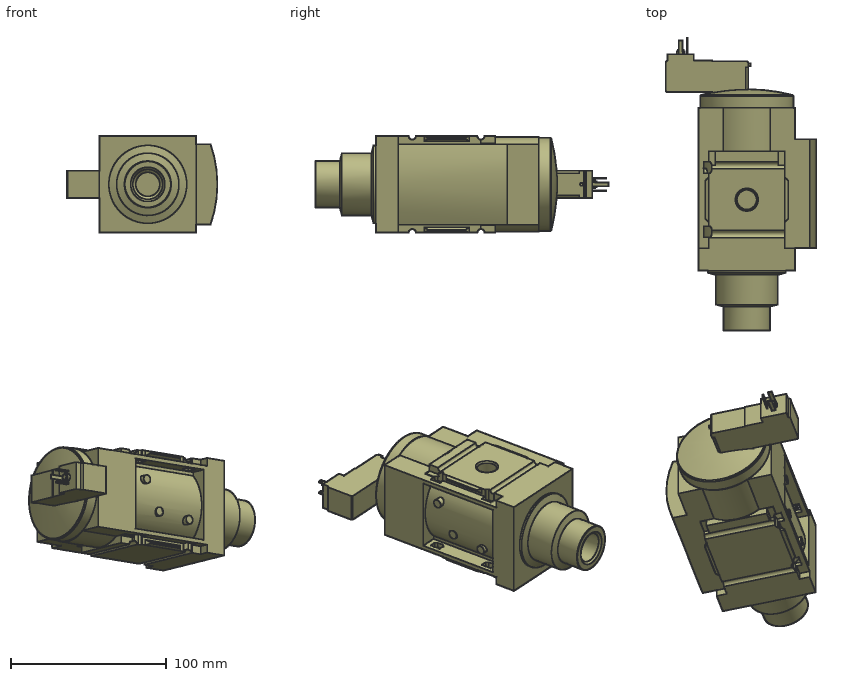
import cadquery as cq
import math


BODY_HALF = 31.0
BODY_FRONT_Y = -45.4
FLAT_HALF_Z = 25.8
CORE_HALF_X = 24.3
RAIL_HALF_Y = 31.1
PLATE_REAR_Y = 38.9
REAR_Y = 58.9

CROWN_HALF_X = 15.0
CROWN_Z = 30.5

CAP_R = 30.0
CAP_BEVEL_Y = 66.3
CAP_RIM_Y = 67.2
CAP_RIM_R = 29.3
CAP_TOP_Y = 70.9

TIP_Y = -84.1
SPIGOT_R = 15.0
SPIGOT_BEVEL = 0.3
SLEEVE_R = 20.0
SLEEVE_BEVEL_START_Y = -67.2
SLEEVE_END_Y = -68.5
FLANGE_R = 25.0
FLANGE_RIM_Y = -46.9
FLANGE_END_Y = -48.2
BORE_MOUTH_R = 11.0
BORE_R = 9.6
BORE_BOTTOM_R = 7.7
BORE_DEPTH = 15.0
BORE_CONE_LENGTH = 2.0

GROOVE_Y = 22.0
GROOVE_R = 2.25
STEP_X = 20.1
STEP_Z = 26.2

PORT_R = 6.3
PORT_BEVEL = 1.0
PORT_DEPTH = 12.0

TAB_OUT = 2.3
TAB_HALF_Y = 14.4
TAB_BEVEL = 2.1
TAB_BOTTOM_Z = 27.5
TAB_EDGE_TOP_Z = 30.0
TAB_EDGE_BOTTOM_Z = 29.0

WINDOW_REAR_Y = 27.8
WINDOW_FRONT_Y = -28.4
WINDOW_HALF_Z = 23.0
BARREL_R = 28.8
BARREL_HALF_Z = 20.7
PIN_FACE_X = -29.7
FLUSH_PIN_FACE_X = -28.3
PINS = [
    (17.4, 11.0, 5.5, PIN_FACE_X),
    (5.9, -8.5, 5.8, FLUSH_PIN_FACE_X),
    (-17.5, -11.0, 5.5, PIN_FACE_X),
]

SLOT_Y = 20.6
SLOT_HALF_Y = 3.6
SLOT_OUTER_X = -27.7
SLOT_SHOULDER_X = -23.4
SLOT_INNER_X = -22.4
SLOT_INNER_HALF_Y = 1.9

COVER_EDGE_X = 40.3
COVER_CROWN_X = 44.7

COIL_HALF_Z = 8.8
COIL_LEFT_X = -52.1
COIL_RIGHT_X = -22.0
COIL_FRONT_Y = 68.9
COIL_REAR_Y = 89.4
COIL_REAR_BEVEL = 1.1
COIL_FRONT_BEVEL = 0.8
HEAD_LEFT_X = -50.9
HEAD_RIGHT_X = -33.9
HEAD_REAR_Y = 93.4
PILOT_RIGHT_X = -0.7
PILOT_REAR_Y = 88.9
PILOT_ROOT_Y = 66.0
END_PLATE_X = 1.1
END_PLATE_REAR_Y = 84.9
END_PLATE_BEVEL = 1.7
BOSS_BEVEL = 1.0
OVERRIDE_X = 2.5
OVERRIDE_Y = 86.5
OVERRIDE_R = 2.01 / 2

POST_X = -42.4
POST_R = 2.5
POST_REAR_Y = 95.2
POST_TIP_R = 1.9
POST_TIP_REAR_Y = 96.2
BLADE_WIDTH = 2.6
BLADE_THICKNESS = 0.7
BLADE_Z = 4.0
BLADE_REAR_Y = 102.2
EARTH_X = -38.2
EARTH_REAR_Y = 103.8


def box(x0, x1, y0, y1, z0, z1):
    """Box given by its limits along each axis."""
    return cq.Workplane("XY").box(x1 - x0, y1 - y0, z1 - z0, centered=False).translate((x0, y0, z0))


def disc_along_x(x0, x1, y, z, radius):
    """Cylinder along X between x0 and x1."""
    return cq.Workplane("YZ").center(y, z).circle(radius).extrude(x1 - x0).translate((x0, 0, 0))


def disc_along_y(y0, y1, x, radius):
    """Cylinder along Y between y0 and y1, at Z = 0."""
    return cq.Workplane("XZ").center(x, 0).circle(radius).extrude(y0 - y1).translate((0, y0, 0))


def both_z(shape):
    """The shape together with its mirror image in the XY plane."""
    return shape.union(shape.mirror("XY"))


def make_body():
    """Front block, raised middle block, rails and rear plates."""
    front = box(-BODY_HALF, BODY_HALF, BODY_FRONT_Y, -RAIL_HALF_Y, -BODY_HALF, BODY_HALF)
    core = box(-CORE_HALF_X, CORE_HALF_X, -RAIL_HALF_Y, RAIL_HALF_Y, -BODY_HALF, BODY_HALF)
    rails = box(-BODY_HALF, BODY_HALF, -RAIL_HALF_Y, REAR_Y, -FLAT_HALF_Z, FLAT_HALF_Z)
    crown = (
        cq.Workplane("XZ")
        .moveTo(-CROWN_HALF_X, -FLAT_HALF_Z)
        .lineTo(-CROWN_HALF_X, FLAT_HALF_Z)
        .threePointArc((0, CROWN_Z), (CROWN_HALF_X, FLAT_HALF_Z))
        .lineTo(CROWN_HALF_X, -FLAT_HALF_Z)
        .threePointArc((0, -CROWN_Z), (-CROWN_HALF_X, -FLAT_HALF_Z))
        .close()
        .extrude(RAIL_HALF_Y - REAR_Y)
        .translate((0, RAIL_HALF_Y, 0))
    )
    return front.union(core).union(rails).union(crown)


def make_turned_ends():
    """Front connection and domed end cap, turned about the Y axis."""
    dome_radius = (CAP_RIM_R**2 + (CAP_TOP_Y - CAP_RIM_Y) ** 2) / (2 * (CAP_TOP_Y - CAP_RIM_Y))
    mid_r = CAP_RIM_R / 2
    mid_y = CAP_TOP_Y - dome_radius + math.sqrt(dome_radius**2 - mid_r**2)
    cap = (
        cq.Workplane("XY")
        .moveTo(0, REAR_Y)
        .lineTo(CAP_R, REAR_Y)
        .lineTo(CAP_R, CAP_BEVEL_Y)
        .lineTo(CAP_RIM_R, CAP_RIM_Y)
        .threePointArc((mid_r, mid_y), (0, CAP_TOP_Y))
        .close()
        .revolve(360, (0, 0, 0), (0, 1, 0))
    )
    front = (
        cq.Workplane("XY")
        .moveTo(0, BODY_FRONT_Y)
        .lineTo(FLANGE_R, BODY_FRONT_Y)
        .lineTo(FLANGE_R, FLANGE_RIM_Y)
        .lineTo(SLEEVE_R, FLANGE_END_Y)
        .lineTo(SLEEVE_R, SLEEVE_BEVEL_START_Y)
        .lineTo(SPIGOT_R, SLEEVE_END_Y)
        .lineTo(SPIGOT_R, TIP_Y + SPIGOT_BEVEL)
        .lineTo(SPIGOT_R - SPIGOT_BEVEL, TIP_Y)
        .lineTo(0, TIP_Y)
        .close()
        .revolve(360, (0, 0, 0), (0, 1, 0))
    )
    return cap.union(front)


def make_front_bore():
    """Bore in the spigot with a bevelled mouth and a tapered bottom."""
    bevel = BORE_MOUTH_R - BORE_R
    cone_start_y = TIP_Y + BORE_DEPTH
    bottom_y = cone_start_y + BORE_CONE_LENGTH
    return (
        cq.Workplane("XY")
        .moveTo(0, TIP_Y)
        .lineTo(BORE_MOUTH_R, TIP_Y)
        .lineTo(BORE_R, TIP_Y + bevel)
        .lineTo(BORE_R, cone_start_y)
        .lineTo(BORE_BOTTOM_R, bottom_y)
        .lineTo(0, bottom_y)
        .close()
        .revolve(360, (0, 0, 0), (0, 1, 0))
    )


def make_port():
    """Blind port in the top face with a bevelled mouth."""
    floor_z = BODY_HALF - PORT_DEPTH
    return (
        cq.Workplane("XZ")
        .moveTo(0, floor_z)
        .lineTo(PORT_R, floor_z)
        .lineTo(PORT_R, BODY_HALF - PORT_BEVEL)
        .lineTo(PORT_R + PORT_BEVEL, BODY_HALF)
        .lineTo(0, BODY_HALF)
        .close()
        .revolve(360, (0, 0, 0), (0, 1, 0))
    )


def make_grooves_and_steps():
    """Round grooves across the middle block and its two lowered rear corners, on +Z and -Z."""
    cuts = box(-CORE_HALF_X, -STEP_X, GROOVE_Y, RAIL_HALF_Y, STEP_Z, BODY_HALF)
    cuts = cuts.union(box(STEP_X, CORE_HALF_X, GROOVE_Y, RAIL_HALF_Y, STEP_Z, BODY_HALF))
    for y in (-GROOVE_Y, GROOVE_Y):
        cuts = cuts.union(disc_along_x(-CORE_HALF_X, CORE_HALF_X, y, BODY_HALF, GROOVE_R))
    return both_z(cuts)


def make_tabs():
    """Tabs on both sides of the middle block, tapered towards their outer edge, on +Z and -Z."""
    outer_x = CORE_HALF_X + TAB_OUT
    edge_half_y = TAB_HALF_Y - TAB_BEVEL
    section = (
        cq.Workplane("XZ")
        .polyline([
            (CORE_HALF_X, TAB_BOTTOM_Z),
            (outer_x, TAB_EDGE_BOTTOM_Z),
            (outer_x, TAB_EDGE_TOP_Z),
            (CORE_HALF_X, BODY_HALF),
        ])
        .close()
        .extrude(TAB_HALF_Y, both=True)
    )
    plan = (
        cq.Workplane("XY")
        .polyline([
            (CORE_HALF_X, -TAB_HALF_Y),
            (outer_x, -edge_half_y),
            (outer_x, edge_half_y),
            (CORE_HALF_X, TAB_HALF_Y),
        ])
        .close()
        .extrude(BODY_HALF)
    )
    tab = section.intersect(plan)
    return both_z(tab.union(tab.mirror("YZ")))


def make_window():
    """Space of the -X window: its box less the barrel that shows inside it."""
    floor_x = -math.sqrt(BARREL_R**2 - BARREL_HALF_Z**2)
    window = box(-BODY_HALF, floor_x, WINDOW_FRONT_Y, WINDOW_REAR_Y, -WINDOW_HALF_Z, WINDOW_HALF_Z)
    return window.cut(disc_along_y(WINDOW_FRONT_Y, WINDOW_REAR_Y, 0, BARREL_R))


def make_bracket_slots():
    """Slots through the -X rails into the window, notched into the middle block."""
    slots = cq.Workplane("XY")
    for y in (-SLOT_Y, SLOT_Y):
        slot = (
            cq.Workplane("XY")
            .workplane(offset=WINDOW_HALF_Z)
            .polyline([
                (SLOT_OUTER_X, y - SLOT_HALF_Y),
                (SLOT_SHOULDER_X, y - SLOT_HALF_Y),
                (SLOT_INNER_X, y - SLOT_INNER_HALF_Y),
                (SLOT_INNER_X, y + SLOT_INNER_HALF_Y),
                (SLOT_SHOULDER_X, y + SLOT_HALF_Y),
                (SLOT_OUTER_X, y + SLOT_HALF_Y),
            ])
            .close()
            .extrude(BODY_HALF - WINDOW_HALF_Z)
        )
        slots = slots.add(slot)
    return both_z(slots.combine())


def make_window_pins():
    """Pins that stand on the barrel."""
    pins = cq.Workplane("XY")
    for y, z, diameter, face_x in PINS:
        pins = pins.add(disc_along_x(face_x, -CORE_HALF_X, y, z, diameter / 2))
    return pins.combine()


def make_cover():
    """Bowed cover on the +X side."""
    return (
        cq.Workplane("XZ")
        .moveTo(BODY_HALF, -FLAT_HALF_Z)
        .lineTo(COVER_EDGE_X, -FLAT_HALF_Z)
        .threePointArc((COVER_CROWN_X, 0), (COVER_EDGE_X, FLAT_HALF_Z))
        .lineTo(BODY_HALF, FLAT_HALF_Z)
        .close()
        .extrude(-RAIL_HALF_Y - PLATE_REAR_Y)
        .translate((0, -RAIL_HALF_Y, 0))
    )


def make_solenoid():
    """Coil with its connector head, pilot block, end plate and manual override."""
    coil = (
        cq.Workplane("XY")
        .workplane(offset=-COIL_HALF_Z)
        .polyline([
            (COIL_LEFT_X + COIL_FRONT_BEVEL, COIL_FRONT_Y),
            (COIL_RIGHT_X, COIL_FRONT_Y),
            (COIL_RIGHT_X, COIL_REAR_Y),
            (HEAD_RIGHT_X, COIL_REAR_Y),
            (HEAD_RIGHT_X, HEAD_REAR_Y),
            (HEAD_LEFT_X, HEAD_REAR_Y),
            (HEAD_LEFT_X, COIL_REAR_Y),
            (COIL_LEFT_X, COIL_REAR_Y - COIL_REAR_BEVEL),
            (COIL_LEFT_X, COIL_FRONT_Y + COIL_FRONT_BEVEL),
        ])
        .close()
        .extrude(2 * COIL_HALF_Z)
    )
    pilot = box(COIL_RIGHT_X, PILOT_RIGHT_X, PILOT_ROOT_Y, PILOT_REAR_Y, -COIL_HALF_Z, COIL_HALF_Z)
    end_plate = box(
        PILOT_RIGHT_X, END_PLATE_X, PILOT_ROOT_Y, END_PLATE_REAR_Y, -COIL_HALF_Z, COIL_HALF_Z
    ).edges("|Y and >X").chamfer(END_PLATE_BEVEL)
    boss = box(PILOT_RIGHT_X, END_PLATE_X, END_PLATE_REAR_Y, PILOT_REAR_Y, -COIL_HALF_Z, COIL_HALF_Z)
    boss = boss.edges("|Z and >X and >Y").chamfer(BOSS_BEVEL)
    override = disc_along_x(PILOT_RIGHT_X, OVERRIDE_X, OVERRIDE_Y, 0, OVERRIDE_R)
    return coil.union(pilot).union(end_plate).union(boss).union(override)


def make_contacts():
    """Centre post, two contact blades and the earth blade."""
    half_width = BLADE_WIDTH / 2
    half_thick = BLADE_THICKNESS / 2
    contacts = disc_along_y(HEAD_REAR_Y, POST_REAR_Y, POST_X, POST_R)
    contacts = contacts.union(disc_along_y(POST_REAR_Y, POST_TIP_REAR_Y, POST_X, POST_TIP_R))
    for z in (-BLADE_Z, BLADE_Z):
        contacts = contacts.union(box(
            POST_X - half_width, POST_X + half_width,
            HEAD_REAR_Y, BLADE_REAR_Y,
            z - half_thick, z + half_thick,
        ))
    return contacts.union(box(
        EARTH_X - half_thick, EARTH_X + half_thick,
        HEAD_REAR_Y, EARTH_REAR_Y,
        -half_width, half_width,
    ))


body = make_body().cut(make_grooves_and_steps()).union(make_tabs())
body = body.cut(make_window()).cut(make_bracket_slots()).union(make_window_pins())
body = body.union(make_turned_ends()).cut(make_front_bore()).cut(make_port())
result = body.union(make_cover()).union(make_solenoid()).union(make_contacts())